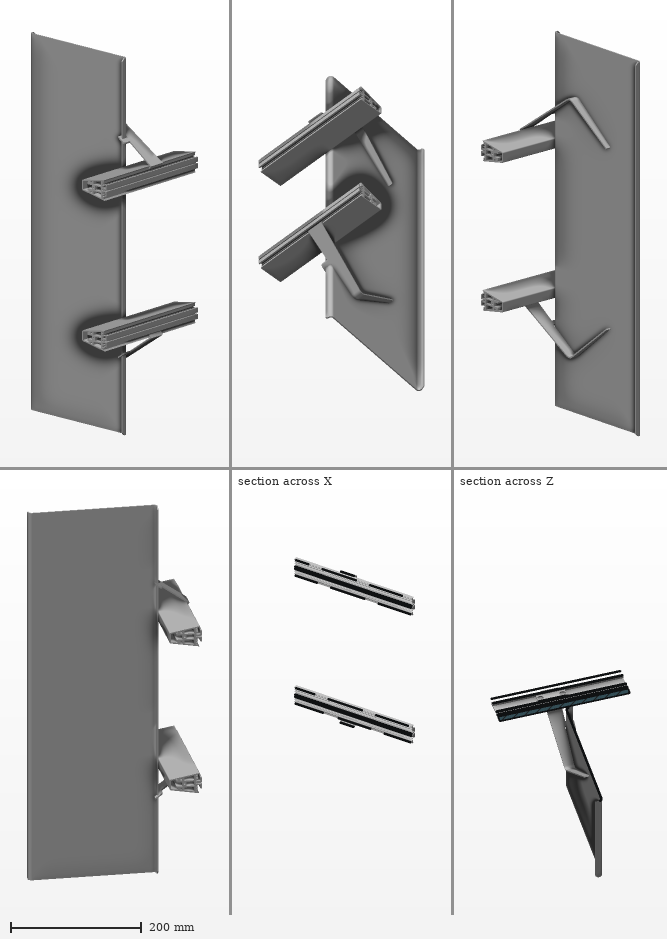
import cadquery as cq
import math

PANEL_LENGTH = 600.0
PANEL_WIDTH = 200.5
RAIL_DEPTH = 50.5
RAIL_LENGTH = 207.5
RAIL_SPACING = 240.0

X_RIGHT = (PANEL_WIDTH + RAIL_DEPTH) / 2
X_LEFT = -X_RIGHT
X_CONTACT = X_LEFT + PANEL_WIDTH
RAIL_Z = RAIL_SPACING / 2

PANEL_SHEET = 2.0
PANEL_LIP = 12.0
PANEL_BEND = 6.0
LIP_CHAMFER = 4.0

RAIL_WALL = 2.1
RAIL_FRONT_HALF = 8.5
RAIL_TAPER = math.tan(math.radians(10))
RAIL_CORNER = 2.1
RAIL_TIP = 46.0
FRONT_CAVITY_END = 11.0
WEB_INNER = 3.3
WEB_OUTER_FRONT = 6.5
WEB_OUTER_REAR = 5.5
STRUT = (12.5, 17.0)
FRONT_RIB = (20.0, 26.5)
CHANNEL = (23.5, 38.5)
REAR_RIB = (38.5, 44.0)
REAR_POST_END = 41.5
SPUR_END = 44.5
SPUR_HEIGHTS = (6.5, 10.5)
SPUR_SHEET = 1.0
REAR_FLANGE_HALF = 9.0
REAR_FLANGE = 2.5
REAR_SLOT_HALF = 1.0
SCREW_PORT = 1.0
SCREW_PORTS_X = (23.5, 42.3)

BRACKET_SHEET = 2.15
REAR_ARM_ANGLE = 35.5
FRONT_ARM_ANGLE = 40.0
PEAK_X = 21.5
PEAK_Z = 209.5
PEAK_BEND = 10.0
FRONT_END_X = -55.0
REAR_CORNER_X = 123.5
RETURN_LENGTH = 5.5
END_MARGIN = 6.0
STRIP_HEIGHT_FRONT = 8.0
STRIP_HEIGHT_REAR = 24.5
HOOK_LEG = 6.0
HOOK_FINGER = 3.5
HOOK_BASE = 3.5
HOOK_FINGER_TIP = -8.5
HOOK_ROUND = 3.0

CLAMP_LENGTH = 46.0
CLAMP_THICKNESS = 2.5
CLAMP_CENTRE_Y = 12.5
CLAMP_HOLE = 5.0
CLAMP_HOLE_PITCH = 35.5


def extrude_along_y(sketch, y_from, y_to):
    """Extrude an XZ sketch between two Y positions."""
    return sketch.extrude(y_from - y_to).translate((0, y_from, 0))


def rail_wall_height(x):
    """Outer height of the tapered wall at depth x."""
    return RAIL_FRONT_HALF + RAIL_TAPER * x


def make_panel():
    """Sheet with one long edge bent backwards (+Y) and the other forwards (-Y)."""
    t = PANEL_SHEET
    inner_bend = PANEL_BEND - t
    z_bottom = -PANEL_LENGTH / 2
    panel = (
        cq.Workplane("XY", origin=(0, 0, z_bottom))
        .moveTo(X_LEFT, PANEL_LIP - t)
        .lineTo(X_LEFT, PANEL_BEND - t)
        .radiusArc((X_LEFT + PANEL_BEND, -t), -PANEL_BEND)
        .lineTo(X_CONTACT - PANEL_BEND, -t)
        .radiusArc((X_CONTACT - t, -PANEL_BEND), inner_bend)
        .lineTo(X_CONTACT - t, -PANEL_LIP)
        .lineTo(X_CONTACT, -PANEL_LIP)
        .lineTo(X_CONTACT, -PANEL_BEND)
        .radiusArc((X_CONTACT - PANEL_BEND, 0), -PANEL_BEND)
        .lineTo(X_LEFT + PANEL_BEND, 0)
        .radiusArc((X_LEFT + t, PANEL_BEND - t), inner_bend)
        .lineTo(X_LEFT + t, PANEL_LIP - t)
        .close()
        .extrude(PANEL_LENGTH)
    )
    lip_corners = panel.edges("|X").edges("<Y or >Y")
    return lip_corners.chamfer(LIP_CHAMFER)


def make_rail():
    """Hollow tapered extrusion along Y, symmetric about its centre line."""

    def prism(points):
        sketch = cq.Workplane("XZ").polyline(points).close()
        return extrude_along_y(sketch, -RAIL_LENGTH / 2, RAIL_LENGTH / 2)

    def block(x_from, x_to, low, high):
        return prism([(x_from, low), (x_to, low), (x_to, high), (x_from, high)])

    def under_wall(x_from, x_to, low):
        """Upright from a given height up to the middle of the tapered wall."""
        middle = RAIL_WALL / 2
        return prism([
            (x_from, low),
            (x_to, low),
            (x_to, rail_wall_height(x_to) - middle),
            (x_from, rail_wall_height(x_from) - middle),
        ])

    tapered_wall = prism([
        (0, rail_wall_height(0)),
        (RAIL_TIP, rail_wall_height(RAIL_TIP)),
        (SPUR_END, rail_wall_height(SPUR_END) - RAIL_WALL),
        (0, rail_wall_height(0) - RAIL_WALL),
    ])
    flange_front = RAIL_DEPTH - REAR_FLANGE
    upper_parts = [
        block(FRONT_CAVITY_END, CHANNEL[0], WEB_INNER, WEB_OUTER_FRONT),
        block(CHANNEL[0], REAR_POST_END, WEB_INNER, WEB_OUTER_REAR),
        under_wall(*STRUT, WEB_INNER),
        under_wall(FRONT_RIB[0], CHANNEL[0], WEB_INNER),
        under_wall(CHANNEL[1], REAR_POST_END, WEB_INNER),
        block(REAR_POST_END, SPUR_END, SPUR_HEIGHTS[0], SPUR_HEIGHTS[0] + SPUR_SHEET),
        block(REAR_POST_END, SPUR_END, SPUR_HEIGHTS[1], SPUR_HEIGHTS[1] + SPUR_SHEET),
        under_wall(SPUR_END - SPUR_SHEET, SPUR_END, SPUR_HEIGHTS[1]),
        block(REAR_RIB[0], RAIL_DEPTH, REAR_SLOT_HALF, WEB_INNER),
        block(flange_front, RAIL_DEPTH, REAR_SLOT_HALF, REAR_FLANGE_HALF),
    ]
    upper = tapered_wall
    for part in upper_parts:
        upper = upper.union(part)

    rail = block(0, RAIL_WALL, -RAIL_FRONT_HALF, RAIL_FRONT_HALF)
    rail = rail.union(block(*FRONT_RIB, -WEB_INNER, WEB_INNER))
    rail = rail.union(block(*REAR_RIB, -WEB_INNER, WEB_INNER))
    rail = rail.union(upper).union(upper.mirror("XY"))

    rail = rail.edges("|Y and <X").fillet(RAIL_CORNER)

    ports = cq.Workplane("XZ").pushPoints([(x, 0) for x in SCREW_PORTS_X]).circle(SCREW_PORT)
    rail = rail.cut(extrude_along_y(ports, -RAIL_LENGTH / 2, RAIL_LENGTH / 2))
    return rail.translate((X_CONTACT, 0, RAIL_Z))


def make_bracket():
    """Upright strip bent into a roof shape, tapering in height, with a hook for the panel lip."""
    rear = math.radians(REAR_ARM_ANGLE)
    front = math.radians(FRONT_ARM_ANGLE)
    rear_z = PEAK_Z - (REAR_CORNER_X - PEAK_X) * math.tan(rear)
    front_z = PEAK_Z - (PEAK_X - FRONT_END_X) * math.tan(front)
    centre_line = [
        (FRONT_END_X, front_z),
        (PEAK_X, PEAK_Z),
        (REAR_CORNER_X, rear_z),
        (REAR_CORNER_X - RETURN_LENGTH * math.sin(rear), rear_z - RETURN_LENGTH * math.cos(rear)),
    ]

    def arm_angle(i):
        (x0, z0), (x1, z1) = centre_line[i], centre_line[i + 1]
        return math.atan2(z1 - z0, x1 - x0)

    def side(offset):
        """Centre line shifted sideways, with mitred corners."""
        points = []
        for i, (x, z) in enumerate(centre_line):
            before = arm_angle(max(i - 1, 0))
            after = arm_angle(min(i, len(centre_line) - 2))
            normal = (before + after + math.pi) / 2
            reach = offset / math.cos((after - before) / 2)
            points.append((x + reach * math.cos(normal), z + reach * math.sin(normal)))
        return points

    outer, inner = side(BRACKET_SHEET / 2), side(-BRACKET_SHEET / 2)
    sketch = cq.Workplane("XZ").polyline(outer + inner[::-1]).close()
    strip = extrude_along_y(sketch, -STRIP_HEIGHT_REAR, 2 * STRIP_HEIGHT_REAR)
    for (x, z), radius in ((outer[1], PEAK_BEND), (inner[1], PEAK_BEND - BRACKET_SHEET)):
        peak_edge = cq.selectors.NearestToPointSelector((x, 0, z))
        strip = strip.edges(peak_edge).fillet(radius)

    finger_front = X_CONTACT - PANEL_SHEET - HOOK_FINGER
    hook_bottom = -PANEL_LIP - HOOK_BASE
    hook_corner = (X_CONTACT + HOOK_LEG, hook_bottom, PANEL_LENGTH / 4)
    height_outline = (
        cq.Workplane("XY")
        .polyline([
            (FRONT_END_X - END_MARGIN, 0),
            (X_CONTACT, 0),
            (X_CONTACT, -PANEL_LIP),
            (X_CONTACT - PANEL_SHEET, -PANEL_LIP),
            (X_CONTACT - PANEL_SHEET, HOOK_FINGER_TIP),
            (finger_front, HOOK_FINGER_TIP),
            (finger_front, hook_bottom),
            (X_CONTACT + HOOK_LEG, hook_bottom),
            (X_CONTACT + HOOK_LEG, -PANEL_SHEET),
            (X_RIGHT, -PANEL_SHEET),
            (X_RIGHT, STRIP_HEIGHT_REAR),
            (FRONT_END_X - END_MARGIN, STRIP_HEIGHT_FRONT),
        ])
        .close()
        .extrude(PANEL_LENGTH / 2)
        .edges(cq.selectors.NearestToPointSelector(hook_corner))
        .fillet(HOOK_ROUND)
    )
    return strip.intersect(height_outline)


def make_clamp():
    """Flat strip with two holes, lying against the inside of the tapered wall."""
    x_from, x_to = CHANNEL
    top_from = rail_wall_height(x_from) - RAIL_WALL
    top_to = rail_wall_height(x_to) - RAIL_WALL
    sketch = cq.Workplane("XZ").polyline([
        (x_from, top_from),
        (x_to, top_to),
        (x_to, top_to - CLAMP_THICKNESS),
        (x_from, top_from - CLAMP_THICKNESS),
    ]).close()
    clamp = extrude_along_y(sketch, -CLAMP_LENGTH / 2, CLAMP_LENGTH / 2)
    hole_x = (x_from + x_to) / 2
    holes = (
        cq.Workplane("XY")
        .pushPoints([(hole_x, -CLAMP_HOLE_PITCH / 2), (hole_x, CLAMP_HOLE_PITCH / 2)])
        .circle(CLAMP_HOLE)
        .extrude(2 * top_to)
    )
    return clamp.cut(holes).translate((X_CONTACT, CLAMP_CENTRE_Y, RAIL_Z))


panel = make_panel()
bodies = [panel.val()]
for make_body in (make_rail, make_bracket, make_clamp):
    upper_body = make_body()
    lower_body = upper_body.mirror("XY")
    bodies += [upper_body.val(), lower_body.val()]

result = cq.Compound.makeCompound(bodies)